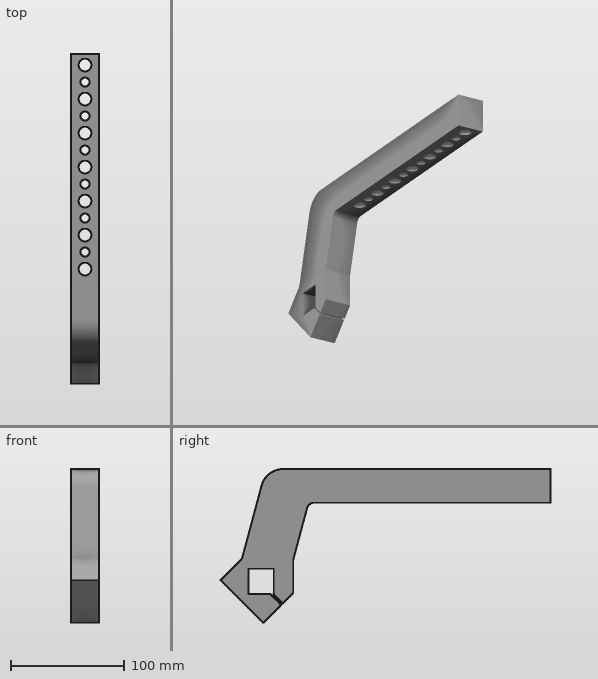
import cadquery as cq
import math

width = 25.0
length = 291.0
height = 136.0
bar_thickness = 30.0

leg_lean = math.tan(math.radians(15))
head_drop = 37.8
head_back = 64.3
neck_front_z = 56.8
neck_back_z = 56.0
outer_bend_radius = 20.0
inner_bend_radius = 6.0
neck_radius = 5.8

socket_side = 22.0
socket_y = 35.8
socket_z = 36.7
slit_width = 1.7
slit_length = 29.0
slit_offset = 1.2

pin_diameter = 8.0
pin_distance = 5.5
pin_length = 4.7

large_diameter = 11.0
small_diameter = 8.0
hole_count = 13
hole_pitch = 15.0
end_margin = 10.0


def make_body():
    """Cranked arm: side outline in the YZ plane, extruded across X, bends rounded."""
    bar_bottom = height - bar_thickness
    neck_front_y = neck_front_z - head_drop
    outer_bend_y = neck_front_y + (height - neck_front_z) * leg_lean
    inner_bend_y = head_back + (bar_bottom - neck_back_z) * leg_lean
    outline = [
        (length, height),
        (outer_bend_y, height),
        (neck_front_y, neck_front_z),
        (0, head_drop),
        (head_drop, 0),
        (head_back, head_back - head_drop),
        (head_back, neck_back_z),
        (inner_bend_y, bar_bottom),
        (length, bar_bottom),
    ]
    body = cq.Workplane("YZ").polyline(outline).close().extrude(width / 2, both=True)
    for corner_y, corner_z, radius in (
        (outer_bend_y, height, outer_bend_radius),
        (inner_bend_y, bar_bottom, inner_bend_radius),
        (neck_front_y, neck_front_z, neck_radius),
        (head_back, neck_back_z, neck_radius),
    ):
        corner = cq.selectors.NearestToPointSelector((0, corner_y, corner_z))
        body = body.edges(corner).fillet(radius)
    return body


def make_socket():
    """Square through socket."""
    return cq.Workplane("XY").box(width, socket_side, socket_side).translate((0, socket_y, socket_z))


def place_on_slit(shape):
    """Turn a shape into the slit direction and move it to the socket's lower back corner."""
    shift = slit_offset * math.sqrt(0.5)
    corner_y = socket_y + socket_side / 2 - shift
    corner_z = socket_z - socket_side / 2 - shift
    return shape.rotate((0, 0, 0), (1, 0, 0), -45).translate((0, corner_y, corner_z))


def make_slit():
    """Narrow 45 degree slit from the socket's lower back corner out through the head."""
    return place_on_slit(cq.Workplane("XY").box(width, slit_length, slit_width))


def make_pin():
    """Pin at mid-width, crossing the slit between the socket and the outside."""
    profile = cq.Workplane("XY").center(0, pin_distance).circle(pin_diameter / 2)
    pin = profile.extrude(pin_length / 2, both=True)
    return place_on_slit(pin)


def make_holes(diameter, first):
    """Vertical holes at every second place in the row, starting at index first."""
    centers = [(0, length - end_margin - i * hole_pitch) for i in range(first, hole_count, 2)]
    return cq.Workplane("XY").pushPoints(centers).circle(diameter / 2).extrude(height)


result = (
    make_body()
    .cut(make_socket())
    .cut(make_slit())
    .union(make_pin())
    .cut(make_holes(large_diameter, 0))
    .cut(make_holes(small_diameter, 1))
)